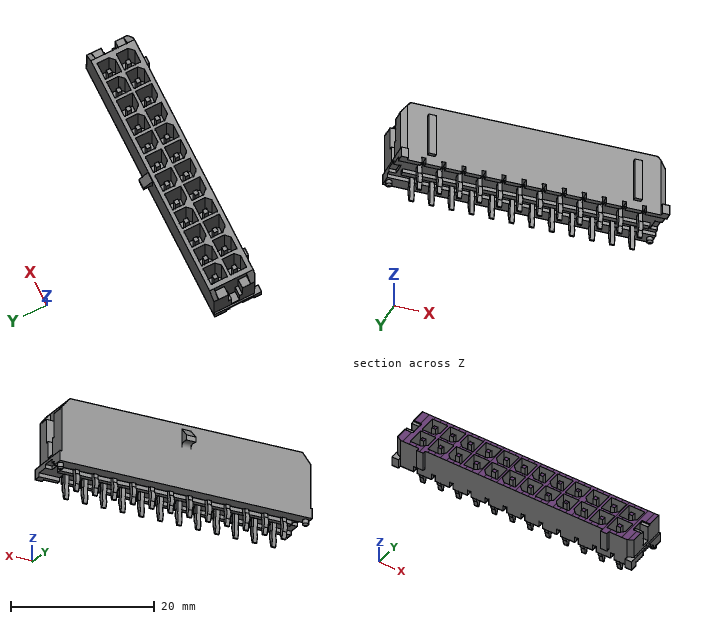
import cadquery as cq
import math

columns = 12
pitch = 3.0
pin_size = 0.64
pin_top = 7.5
pin_tip = -3.19
pin_tip_width = 0.24
pin_bow_start = -0.6
pin_bow_end = -2.17
pin_taper_start = -2.41
pin_outer_bow = 0.24
pin_inner_bow = 0.12

body_length = 39.66
body_front = -3.45
body_back = 3.38
body_height = 9.9
end_wall_height = 8.22
crown_length = 37.0
end_slope_base = 8.3
crown_front_margin = 1.09
crown_back_margin = 0.73
corner_chamfer_length = 0.85
corner_chamfer_depth = 0.48

slot_width = 2.18
slot_step = 4.6
slot_narrow_width = 1.21
slot_floor = 2.06

cavity_size = 2.54
cavity_key = 0.7
cavity_floor = 2.0
back_row_keys = "RRLRLLLLRLRR"
front_row_keys = "RRLRLLLRLLRR"

overall_length = 40.15
foot_length = 1.09
foot_height = 1.57
foot_front = -3.97
rib_width = 1.1
rib_center = 15.4

channel_front = -2.78
channel_back = 1.57
channel_height = 0.6
spine_width = 0.72
spine_length = crown_length
notch_width = 0.6
notch_height = 0.97
end_pocket_width = 1.93
end_pocket_top = 1.15
end_pocket_depth = foot_length

peg_radius = 0.45
peg_center_x = 19.51
peg_center_y = 2.42
peg_straight = 0.6
peg_cone = 0.25
peg_tip_radius = 0.18

latch_width = 1.45
overall_depth = 8.77
latch_back = foot_front + overall_depth
latch_top = 9.19
latch_nose_top = 7.68
latch_nose_bottom = 6.9
latch_underside = 7.0
latch_fillet = 0.6

columns_x = [(i - (columns - 1) / 2) * pitch for i in range(columns)]
row_y = pitch / 2
body_depth = body_back - body_front


def block(x0, x1, y0, y1, z0, z1):
    """Axis-aligned box between opposite corners."""
    return cq.Workplane("XY").box(x1 - x0, y1 - y0, z1 - z0, centered=False).translate((x0, y0, z0))


def yz_prism(profile, width, x):
    """Extrude a closed (Y, Z) profile along X, centred on x."""
    return profile.extrude(width / 2, both=True).translate((x, 0, 0))


def make_shell():
    """Housing with sloped end corners, bevelled front edges and open end recesses."""
    half_body = body_length / 2
    half_crown = crown_length / 2
    shell = (
        cq.Workplane("XZ", origin=(0, body_back, 0))
        .moveTo(-half_body, 0)
        .lineTo(half_body, 0)
        .lineTo(half_body, end_slope_base)
        .lineTo(half_crown, body_height)
        .lineTo(-half_crown, body_height)
        .lineTo(-half_body, end_slope_base)
        .close()
        .extrude(body_depth)
    )
    for side in (-1, 1):
        bevel = (
            cq.Workplane("XY")
            .moveTo(side * half_body, body_front)
            .lineTo(side * (half_body - corner_chamfer_length), body_front)
            .lineTo(side * half_body, body_front + corner_chamfer_depth)
            .close()
            .extrude(body_height)
        )
        x0, x1 = sorted((side * half_crown, side * half_body))
        recess = block(x0, x1, body_front + crown_front_margin, body_back - crown_back_margin,
                       end_wall_height, body_height)
        wide_slot = block(x0, x1, -slot_width / 2, slot_width / 2, slot_step, body_height)
        narrow_slot = block(x0, x1, -slot_narrow_width / 2, slot_narrow_width / 2, slot_floor, body_height)
        shell = shell.cut(bevel).cut(recess).cut(wide_slot).cut(narrow_slot)
    return shell


def make_feet():
    """End strips along the base and the two stand-off ribs on the front face."""
    half = overall_length / 2
    feet = cq.Workplane("XY")
    for side in (-1, 1):
        x0, x1 = sorted((side * half, side * (half - foot_length)))
        feet = feet.union(block(x0, x1, foot_front, body_back, 0, foot_height))
        x = side * rib_center
        feet = feet.union(
            block(x - rib_width / 2, x + rib_width / 2, foot_front, body_front, foot_height, end_wall_height)
        )
    return feet


def make_cavity(x, y, key):
    """Square contact cavity with one front corner bevelled."""
    half = cavity_size / 2
    cavity = block(x - half, x + half, y - half, y + half, cavity_floor, body_height)
    corner = "<Y and >X" if key == "R" else "<Y and <X"
    return cavity.edges("|Z").edges(corner).chamfer(cavity_key)


def make_underside():
    """Channel beneath the contacts with its spine left standing, contact notches and end pockets."""
    half = overall_length / 2
    half_spine = spine_width / 2
    half_length = spine_length / 2
    spine = block(-half_length, half_length, -half_spine, half_spine, 0, channel_height)
    cuts = block(-half, half, channel_front, channel_back, 0, channel_height).cut(spine)
    for x in columns_x:
        cuts = cuts.union(
            block(x - notch_width / 2, x + notch_width / 2, body_front, -row_y, 0, notch_height)
        )
    for side in (-1, 1):
        x0, x1 = sorted((side * half, side * (half - end_pocket_depth)))
        cuts = cuts.union(
            block(x0, x1, -end_pocket_width / 2, end_pocket_width / 2, channel_height, end_pocket_top)
        )
    return cuts


def make_pin(x, side):
    """Contact whose solder tail bows outward, towards +Y for side 1 and -Y for side -1."""
    half = pin_size / 2
    bow_middle = (pin_bow_start + pin_bow_end) / 2

    def at(offset, z):
        return (side * (row_y + offset), z)

    profile = (
        cq.Workplane("YZ")
        .moveTo(*at(-half, pin_top))
        .lineTo(*at(half, pin_top))
        .lineTo(*at(half, pin_bow_start))
        .threePointArc(at(half + pin_outer_bow, bow_middle), at(half, pin_bow_end))
        .lineTo(*at(half, pin_taper_start))
        .lineTo(*at(pin_tip_width / 2, pin_tip))
        .lineTo(*at(-pin_tip_width / 2, pin_tip))
        .lineTo(*at(-half, pin_taper_start))
        .lineTo(*at(-half, pin_bow_end))
        .threePointArc(at(-half + pin_inner_bow, bow_middle), at(-half, pin_bow_start))
        .close()
    )
    return yz_prism(profile, pin_size, x)


def make_peg(x):
    """Round locating peg with a conical end, under an end strip."""
    peg = (
        cq.Workplane("XZ")
        .moveTo(0, foot_height / 2)
        .lineTo(peg_radius, foot_height / 2)
        .lineTo(peg_radius, -peg_straight)
        .lineTo(peg_tip_radius, -peg_straight - peg_cone)
        .lineTo(0, -peg_straight - peg_cone)
        .close()
        .revolve(360, (0, 0, 0), (0, 1, 0))
    )
    return peg.translate((x, peg_center_y, 0))


def make_latch():
    """Hooked latch with a sloped top and an underside that curves down into the back face."""
    diagonal = latch_fillet * math.sqrt(0.5)
    center_y = body_back + latch_fillet
    center_z = latch_underside - latch_fillet
    profile = (
        cq.Workplane("YZ")
        .moveTo(body_back - crown_back_margin, latch_top)
        .lineTo(body_back, latch_top)
        .lineTo(latch_back, latch_nose_top)
        .lineTo(latch_back, latch_nose_bottom)
        .lineTo(center_y, latch_underside)
        .threePointArc((center_y - diagonal, center_z + diagonal), (body_back, center_z))
        .lineTo(body_back - crown_back_margin, center_z)
        .close()
    )
    return yz_prism(profile, latch_width, 0)


result = make_shell().union(make_feet()).union(make_latch()).cut(make_underside())
for x, back_key, front_key in zip(columns_x, back_row_keys, front_row_keys):
    result = result.cut(make_cavity(x, row_y, back_key)).cut(make_cavity(x, -row_y, front_key))
    result = result.union(make_pin(x, 1)).union(make_pin(x, -1))
for side in (-1, 1):
    result = result.union(make_peg(side * peg_center_x))